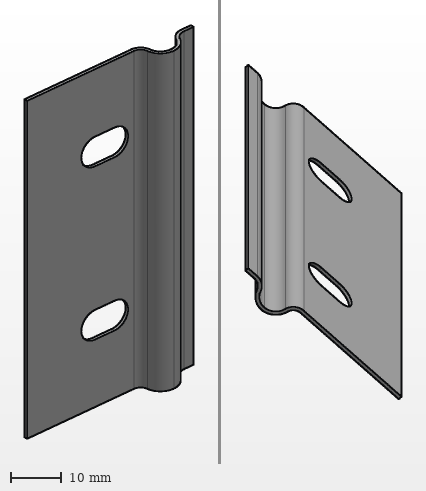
import cadquery as cq
import math

LENGTH = 80.0
WIDTH = 42.0
DEPTH = 5.8
SHEET = 0.8

LIP_OFFSET = 1.0
BEAD_FROM_LIP_END = 8.5
BEAD_INNER_RADIUS = 3.25
LIP_BEND_RADIUS = 3.25
PLATE_BEND_RADIUS = 2.85

SLOT_LENGTH = 12.0
SLOT_WIDTH = 7.0
SLOT_FROM_PLATE_END = 20.0
SLOT_SPACING = 41.0

BEAD_OUTER_RADIUS = BEAD_INNER_RADIUS + SHEET
BEAD_X = DEPTH - BEAD_OUTER_RADIUS
BEAD_Y = WIDTH - BEAD_FROM_LIP_END


def polar(center, radius, angle):
    """Point at an angle on a circle."""
    return (center[0] + radius * math.cos(angle), center[1] + radius * math.sin(angle))


def bead_inner(angle):
    """Point on the back face of the bead."""
    return polar((BEAD_X, BEAD_Y), BEAD_INNER_RADIUS, angle)


def bead_outer(angle):
    """Point on the front face of the bead."""
    return polar((BEAD_X, BEAD_Y), BEAD_OUTER_RADIUS, angle)


def bend_geometry(back_x, bend_radius, side):
    """Centre of a bend tangent to a flat at back_x and to the bead, and the
    direction from bead to bend. side is +1 for the lip and -1 for the plate."""
    center_distance = BEAD_INNER_RADIUS + bend_radius
    step_x = back_x + bend_radius - BEAD_X
    step_y = side * math.sqrt(center_distance**2 - step_x**2)
    return (BEAD_X + step_x, BEAD_Y + step_y), math.atan2(step_y, step_x)


def make_sheet():
    """Bent sheet, with the bead faces split along its apex."""
    plate_bend, plate_angle = bend_geometry(0.0, PLATE_BEND_RADIUS, -1)
    lip_bend, lip_angle = bend_geometry(LIP_OFFSET, LIP_BEND_RADIUS, 1)

    plate_mid = math.pi + plate_angle / 2
    lip_mid = math.pi + lip_angle / 2

    plate_front_radius = PLATE_BEND_RADIUS - SHEET
    lip_front_radius = LIP_BEND_RADIUS - SHEET

    profile = (
        cq.Workplane("XY")
        .moveTo(0, 0)
        .lineTo(0, plate_bend[1])
        .threePointArc(
            polar(plate_bend, PLATE_BEND_RADIUS, plate_mid),
            bead_inner(plate_angle),
        )
        .threePointArc(bead_inner(plate_angle / 2), bead_inner(0))
        .threePointArc(bead_inner(lip_angle / 2), bead_inner(lip_angle))
        .threePointArc(
            polar(lip_bend, LIP_BEND_RADIUS, lip_mid),
            (LIP_OFFSET, lip_bend[1]),
        )
        .lineTo(LIP_OFFSET, WIDTH)
        .lineTo(LIP_OFFSET + SHEET, WIDTH)
        .lineTo(LIP_OFFSET + SHEET, lip_bend[1])
        .threePointArc(
            polar(lip_bend, lip_front_radius, lip_mid),
            bead_outer(lip_angle),
        )
        .threePointArc(bead_outer(lip_angle / 2), bead_outer(0))
        .threePointArc(bead_outer(plate_angle / 2), bead_outer(plate_angle))
        .threePointArc(
            polar(plate_bend, plate_front_radius, plate_mid),
            (SHEET, plate_bend[1]),
        )
        .lineTo(SHEET, 0)
        .close()
    )
    return profile.extrude(LENGTH, clean=False)


def make_slots():
    """Round-ended cutters through the plate."""
    centers = [
        (SLOT_FROM_PLATE_END, LENGTH / 2 + side * SLOT_SPACING / 2)
        for side in (-1, 1)
    ]
    return (
        cq.Workplane("YZ")
        .pushPoints(centers)
        .slot2D(SLOT_LENGTH, SLOT_WIDTH)
        .extrude(SHEET)
    )


result = make_sheet().cut(make_slots(), clean=False)